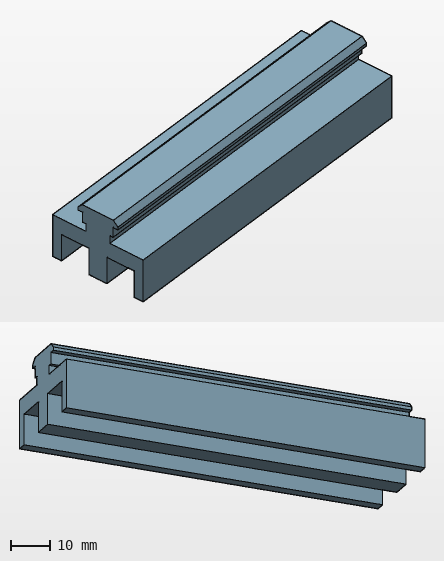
import cadquery as cq

length = 100.0
base_width = 30.0
total_height = 21.5

plate_bottom = 8.5
plate_top = 13.5
leg_thickness = 3.0
rib_width = 6.0

neck_width = 8.0
shoulder_width = 10.0
shoulder_bottom = 15.9
cap_width = 13.3
cap_bottom = 19.1
cap_chamfer = 1.5


def bar(width, bottom, top, center_x=0.0):
    """Full-length rectangular bar between two heights."""
    return (
        cq.Workplane("XY")
        .box(width, length, top - bottom, centered=(True, True, False))
        .translate((center_x, 0, bottom))
    )


def make_base():
    base = bar(base_width, plate_bottom, plate_top)
    base = base.union(bar(rib_width, 0, plate_bottom))
    leg_center = (base_width - leg_thickness) / 2
    for side in (-1, 1):
        base = base.union(bar(leg_thickness, 0, plate_bottom, side * leg_center))
    return base


def make_head():
    neck = bar(neck_width, plate_top, shoulder_bottom)
    shoulder = bar(shoulder_width, shoulder_bottom, cap_bottom)
    cap = bar(cap_width, cap_bottom, total_height)
    cap = cap.faces(">Z").edges("|Y").chamfer(cap_chamfer)
    return neck.union(shoulder).union(cap)


result = make_base().union(make_head())